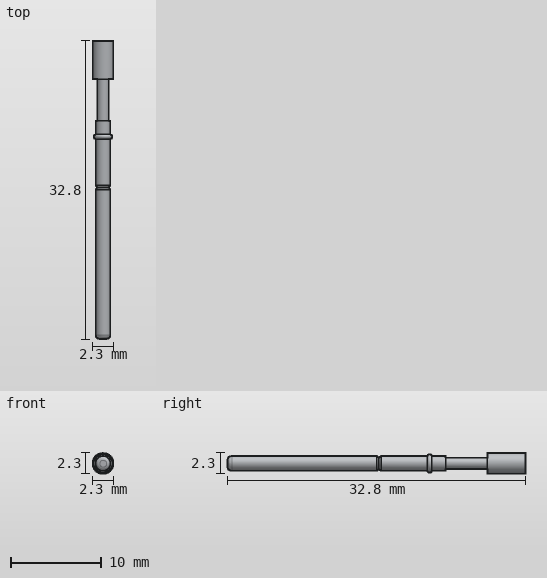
import cadquery as cq
import math

TOTAL_LENGTH = 32.8

HEAD_DIAMETER = 2.3
HEAD_LENGTH = 4.2
RECESS_RIM_DIAMETER = 2.26
RECESS_DEPTH = 0.6

PLUNGER_DIAMETER = 1.27
PLUNGER_LENGTH = 4.6

BARREL_DIAMETER = 1.65
TAIL_FILLET = 0.45

COLLAR_DIAMETER = 2.06
COLLAR_WIDTH = 0.5
COLLAR_SETBACK = 1.75

GROOVE_DIAMETER = 1.3
GROOVE_WIDTH = 0.48
GROOVE_SETBACK = 7.34

BARREL_LENGTH = TOTAL_LENGTH - HEAD_LENGTH - PLUNGER_LENGTH
HEAD_BASE = TOTAL_LENGTH - HEAD_LENGTH
COLLAR_CENTRE = BARREL_LENGTH - COLLAR_SETBACK
GROOVE_CENTRE = BARREL_LENGTH - GROOVE_SETBACK


def barrel_profile():
    """Half section of the barrel, from the tail centre up to the mouth corner."""
    radius = BARREL_DIAMETER / 2
    fillet_inset = TAIL_FILLET * (1 - math.sqrt(0.5))
    return (
        cq.Workplane("XY")
        .lineTo(radius - TAIL_FILLET, 0)
        .threePointArc((radius - fillet_inset, fillet_inset), (radius, TAIL_FILLET))
        .lineTo(radius, GROOVE_CENTRE - GROOVE_WIDTH / 2)
        .lineTo(GROOVE_DIAMETER / 2, GROOVE_CENTRE)
        .lineTo(radius, GROOVE_CENTRE + GROOVE_WIDTH / 2)
        .lineTo(radius, COLLAR_CENTRE - COLLAR_WIDTH / 2)
        .threePointArc(
            (COLLAR_DIAMETER / 2, COLLAR_CENTRE),
            (radius, COLLAR_CENTRE + COLLAR_WIDTH / 2),
        )
        .lineTo(radius, BARREL_LENGTH)
    )


def probe():
    """Revolve the barrel, plunger and head about the Y axis as one solid."""
    return (
        barrel_profile()
        .lineTo(PLUNGER_DIAMETER / 2, BARREL_LENGTH)
        .lineTo(PLUNGER_DIAMETER / 2, HEAD_BASE + RECESS_DEPTH)
        .lineTo(RECESS_RIM_DIAMETER / 2, HEAD_BASE)
        .lineTo(HEAD_DIAMETER / 2, HEAD_BASE)
        .lineTo(HEAD_DIAMETER / 2, TOTAL_LENGTH)
        .lineTo(0, TOTAL_LENGTH)
        .close()
        .revolve(360, (0, 0, 0), (0, 1, 0))
    )


result = probe()